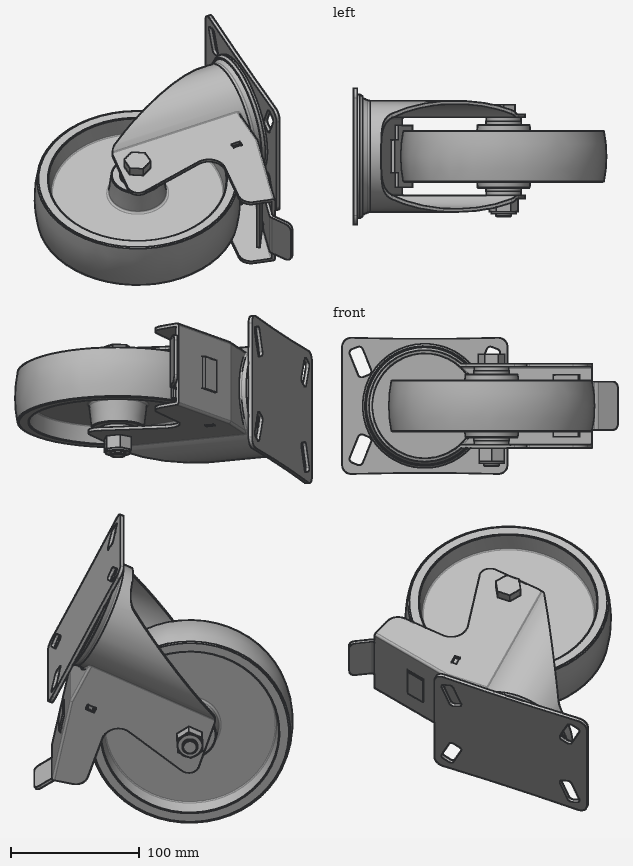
import cadquery as cq
import math


wheel_radius = 80.0
tread_edge_radius = 78.0
tread_width = 40.0
tyre_inner_radius = 69.7
tyre_edge_chamfer = 1.3
rim_chamfer = 0.6
rim_root_radius = 67.0
disc_thickness = 11.2
disc_root_fillet = 0.9
hub_end_radius = 20.4
hub_root_radius = 22.5
hub_root_fillet = 1.7
hub_end_chamfer = 0.6
hub_length = 49.3

bolt_radius = 6.0
bolt_head_flats = 18.0
bolt_head_height = 7.3
bolt_length_below_fork = 14.2
bolt_tip_chamfer = 0.9
nut_flats = 19.5
nut_hex_height = 10.0
nut_collar_radius = 9.7
nut_collar_height = 1.7

spacer_radius = 13.7
spacer_washer_radius = 13.5
spacer_washer_thickness = 3.0

swivel_x = -52.0
plate_top_y = 116.7
plate_length = 128.7
plate_width = 106.0
plate_thickness = 3.0
plate_corner_radius = 7.3
plate_corner_flat = 7.5
plate_edge_hollow = 0.9
slot_length = 23.2
slot_width = 10.7
slot_corner_radius = 3.0
slot_tilt = 22.0
slot_offset_x = 50.0
slot_offset_z = 34.0

ring_flange_radius = 48.3
ring_flange_height = 2.0
ring_step_outer_radius = 46.5
ring_step_inner_radius = 45.5
ring_step_drop = 4.3
ring_neck_radius = 43.7
ring_neck_drop = 8.0
ring_height = 10.0

sheet = 2.5
fork_half_width = 32.8
fork_cup_radius = 43.3
crown_underside_y = 97.0
cup_front_y = 95.6
cup_bend_radius = 1.3
web_y = 98.2
web_bend_x = 11.0
web_end_x = 78.3
web_slope = 14.2
web_edge_radius = 2.0
slant_top = (-83.6, 94.0, 16.0)
leg_heel = (-25.3, -10.7, 10.7)
leg_toe = (29.8, -18.2, 8.5)
leg_throat = (10.5, 63.7, 13.0)
web_skirt = (72.0, 56.0, 10.0)
web_inner_radius = 1.0
window_width = 4.3
window_height = 7.3
window_x = 9.9
window_y = 80.6

brake_end_x = 98.2
pedal_half_width = 18.9
pedal_start_x = 56.8
pedal_corner_radius = 5.0
pedal_rise = 31.0
pedal_bend_x = 81.0
pedal_bend_radius = 1.7
pad_half_width = 24.0
pad_slope = 30.2
pad_length = 22.5
pad_start_x = 47.8
pad_start_y = 82.0
tongue_half_width = 12.9
tongue_left_x = 31.5
tongue_neck_x = 43.5
tongue_right_x = 46.0
tongue_height = 1.5

margin = 2.1

half_tread = tread_width / 2
half_disc = disc_thickness / 2
half_hub = hub_length / 2
leg_inner_z = fork_half_width - sheet
plate_bottom_y = plate_top_y - plate_thickness
fork_top_y = plate_bottom_y - ring_height
web_gradient = math.tan(math.radians(web_slope))
web_drop = sheet / math.cos(math.radians(web_slope))


def web_top(x):
    """Height of the sloping web's upper face at x."""
    return web_y - (x - web_bend_x) * web_gradient


def web_under(x):
    """Height of the sloping web's lower face at x."""
    return web_top(x) - web_drop


def rounded_outline(corners):
    """Closed XY outline through (x, y, radius) corners, each rounded by a tangent arc."""
    path = cq.Workplane("XY")
    started = False
    for i, (x, y, radius) in enumerate(corners):
        corner = cq.Vector(x, y)
        before = cq.Vector(*corners[i - 1][:2])
        after = cq.Vector(*corners[(i + 1) % len(corners)][:2])
        to_before = (before - corner).normalized()
        to_after = (after - corner).normalized()
        half_angle = to_before.getAngle(to_after) / 2
        setback = radius / math.tan(half_angle)
        bisector = (to_before + to_after).normalized()
        arc_start = corner + to_before * setback
        arc_middle = corner + bisector * (radius / math.sin(half_angle) - radius)
        arc_end = corner + to_after * setback
        if started:
            path = path.lineTo(arc_start.x, arc_start.y)
        else:
            path = path.moveTo(arc_start.x, arc_start.y)
            started = True
        if radius > 0:
            path = path.threePointArc((arc_middle.x, arc_middle.y), (arc_end.x, arc_end.y))
    return path.close()


def extrude_centred(outline, half_width):
    """Extrude an XY outline to both sides of the wheel's middle plane."""
    return outline.extrude(half_width, both=True)


def turned_about_z(points):
    """Solid of revolution about the axle from (radius, z) points."""
    return cq.Workplane("XZ").polyline(points).close().revolve(360, (0, 0), (0, 1))


def cylinder_z(radius, z_low, z_high):
    """Cylinder about the axle between two heights."""
    return cq.Workplane("XY").workplane(offset=z_low).circle(radius).extrude(z_high - z_low)


def swivel_cylinder(radius, y_low, y_high):
    """Cylinder about the swivel axis between two levels."""
    plane = cq.Workplane("XZ", origin=(swivel_x, y_high, 0))
    return plane.circle(radius).extrude(y_high - y_low)


def make_plate():
    """Rectangular plate with slightly hollow long edges and four slanted slots."""
    half_x = plate_length / 2
    half_z = plate_width / 2
    hollow_end_x = half_x - plate_corner_flat
    hollow_z = half_z - plate_edge_hollow
    plate = (
        cq.Workplane("XZ", origin=(swivel_x, plate_top_y, 0))
        .moveTo(-half_x, -half_z)
        .lineTo(-hollow_end_x, -half_z)
        .threePointArc((0, -hollow_z), (hollow_end_x, -half_z))
        .lineTo(half_x, -half_z)
        .lineTo(half_x, half_z)
        .lineTo(hollow_end_x, half_z)
        .threePointArc((0, hollow_z), (-hollow_end_x, half_z))
        .lineTo(-half_x, half_z)
        .close()
        .extrude(plate_thickness)
    )
    plate = plate.edges("|Y and (<X or >X)").fillet(plate_corner_radius)
    for side_x in (-1, 1):
        for side_z in (-1, 1):
            slot = (
                cq.Workplane("XZ")
                .rect(slot_width, slot_length)
                .extrude(plate_thickness)
                .edges("|Y")
                .fillet(slot_corner_radius)
                .rotate((0, 0, 0), (0, 1, 0), side_x * side_z * slot_tilt)
                .translate((swivel_x + side_x * slot_offset_x, plate_top_y, side_z * slot_offset_z))
            )
            plate = plate.cut(slot)
    return plate


def make_swivel_ring():
    """Stepped, tapering bearing ring between plate and fork."""
    profile = [
        (0, 0),
        (ring_flange_radius, 0),
        (ring_flange_radius, -ring_flange_height),
        (ring_step_outer_radius, -ring_step_drop),
        (ring_step_inner_radius, -ring_step_drop),
        (ring_neck_radius, -ring_neck_drop),
        (fork_cup_radius, -ring_height),
        (0, -ring_height),
    ]
    ring = cq.Workplane("XY").polyline(profile).close().revolve(360, (0, 0), (0, 1))
    return ring.translate((swivel_x, plate_bottom_y, 0))


def fork_side_outline():
    """Side shape of the fork below its crown."""
    cup_left_x = swivel_x - fork_cup_radius
    return rounded_outline([
        (cup_left_x - margin, web_y, 0),
        (cup_left_x - margin, cup_front_y, 0),
        slant_top,
        leg_heel,
        leg_toe,
        leg_throat,
        web_skirt,
        (web_end_x, web_top(web_end_x), 0),
        (web_bend_x, web_y, 0),
    ])


def round_roof_edges(prism, radius):
    """Round the two long edges where a channel-shaped prism's sides meet its roof."""
    roof = cq.selectors.BoxSelector(
        (swivel_x, web_under(web_end_x), -fork_half_width - margin),
        (web_end_x - margin, web_y + margin, fork_half_width + margin),
    )
    return prism.edges(roof).edges("not |Z").fillet(radius)


def make_fork_blank():
    """Solid block with the fork's outer shape: round cup, flat legs, sloping web and crown."""
    side_shape = extrude_centred(fork_side_outline(), fork_cup_radius + margin)
    span_x = web_end_x - swivel_x
    block = cq.Workplane("XY").box(span_x, 2 * (wheel_radius + web_y), 2 * fork_half_width)
    channel = side_shape.intersect(block.translate((swivel_x + span_x / 2, 0, 0)))
    channel = round_roof_edges(channel, web_edge_radius)
    cup = side_shape.intersect(swivel_cylinder(fork_cup_radius, -wheel_radius, web_y))
    crown = swivel_cylinder(fork_cup_radius, crown_underside_y, fork_top_y)
    return channel.union(cup).union(crown)


def make_channel_hollow():
    """Space between the legs, below the web."""
    outline = rounded_outline([
        (swivel_x, -wheel_radius, 0),
        (brake_end_x, -wheel_radius, 0),
        (brake_end_x, web_under(brake_end_x), 0),
        (web_bend_x, web_under(web_bend_x), 0),
        (swivel_x, web_under(web_bend_x), 0),
    ])
    return round_roof_edges(extrude_centred(outline, leg_inner_z), web_inner_radius)


def round_cup_edge(fork, radius, level):
    """Round the arc on the +X side where the cup meets the web at the given level."""
    edge_tolerance = 0.02
    arc_depth = 6.5
    reach = cq.selectors.BoxSelector(
        (swivel_x + radius - arc_depth, level - edge_tolerance, -radius / 2),
        (swivel_x + radius, level + edge_tolerance, radius / 2),
    )
    return fork.edges(reach).fillet(cup_bend_radius)


def make_fork():
    """Sheet fork: round cup under the crown, two flat legs and a sloping web joining them."""
    cup_inner_radius = fork_cup_radius - sheet
    fork = make_fork_blank()
    fork = round_cup_edge(fork, fork_cup_radius, web_y)
    fork = fork.cut(swivel_cylinder(cup_inner_radius, -wheel_radius, crown_underside_y))
    fork = fork.cut(make_channel_hollow())
    fork = round_cup_edge(fork, cup_inner_radius, web_under(web_bend_x))

    fork = fork.cut(cylinder_z(bolt_radius, -fork_half_width, fork_half_width))
    window = cq.Workplane("XY").center(window_x, window_y).rect(window_width, window_height)
    fork = fork.cut(extrude_centred(window, fork_half_width))
    return fork.cut(make_tongue())


def make_tongue():
    """Hooked tongue: a flat on top of the web and a neck down through it."""
    neck_foot_y = pad_start_y + (pad_start_x - tongue_neck_x) * math.tan(math.radians(pad_slope))
    outline = rounded_outline([
        (tongue_left_x, web_top(tongue_left_x), 0),
        (tongue_left_x, web_top(tongue_left_x) + tongue_height, 0),
        (tongue_right_x, web_top(tongue_right_x) + tongue_height, 0),
        (pad_start_x + sheet, pad_start_y, 0),
        (pad_start_x, pad_start_y, 0),
        (tongue_neck_x, neck_foot_y, 0),
        (tongue_neck_x, web_top(tongue_neck_x), 0),
    ])
    return extrude_centred(outline, tongue_half_width)


def make_brake():
    """Brake lever: tongue, slanted brake pad and pedal strip as one bent piece."""
    pad = (
        cq.Workplane("XY")
        .rect(pad_length, sheet, centered=False)
        .extrude(pad_half_width, both=True)
        .rotate((0, 0, 0), (0, 0, 1), -pad_slope)
        .translate((pad_start_x, pad_start_y, 0))
    )
    rise = math.radians(pedal_rise)
    end_x = brake_end_x - sheet * math.sin(rise)
    bend_y = web_under(pedal_bend_x)
    end_y = bend_y + (end_x - pedal_bend_x) * math.tan(rise)
    fall = math.radians(web_slope)
    bend_mitre = sheet / math.cos((rise + fall) / 2)
    lower_bend_x = pedal_bend_x + bend_mitre * math.sin((rise - fall) / 2)
    lower_bend_y = bend_y - bend_mitre * math.cos((rise - fall) / 2)
    neck_start_y = web_under(tongue_right_x)
    neck_end_y = web_under(pedal_start_x)
    neck = extrude_centred(rounded_outline([
        (tongue_right_x, neck_start_y, 0),
        (pedal_start_x, neck_end_y, 0),
        (pedal_start_x, neck_end_y - web_drop, 0),
        (tongue_right_x, neck_start_y - web_drop, 0),
    ]), tongue_half_width)
    pedal_outline = rounded_outline([
        (pedal_start_x, neck_end_y, 0),
        (pedal_bend_x, bend_y, pedal_bend_radius),
        (end_x, end_y, 0),
        (brake_end_x, end_y - sheet * math.cos(rise), 0),
        (lower_bend_x, lower_bend_y, pedal_bend_radius + sheet),
        (pedal_start_x, neck_end_y - web_drop, 0),
    ])
    pedal = extrude_centred(pedal_outline, pedal_half_width)
    free_end = cq.selectors.BoxSelector(
        (end_x, end_y - sheet, -pedal_half_width - margin),
        (brake_end_x, end_y, pedal_half_width + margin),
    )
    pedal = pedal.edges(free_end).edges("not |Z").fillet(pedal_corner_radius)
    return make_tongue().union(pad).union(neck).union(pedal)


def make_tyre():
    """Tyre with a crowned tread."""
    side_z = half_tread - tyre_edge_chamfer / 2
    face_radius = tread_edge_radius - tyre_edge_chamfer
    return (
        cq.Workplane("XZ")
        .moveTo(tyre_inner_radius, -half_tread)
        .lineTo(face_radius, -half_tread)
        .lineTo(tread_edge_radius, -side_z)
        .threePointArc((wheel_radius, 0), (tread_edge_radius, side_z))
        .lineTo(face_radius, half_tread)
        .lineTo(tyre_inner_radius, half_tread)
        .close()
        .revolve(360, (0, 0), (0, 1))
    )


def make_wheel():
    """Wheel core: tapered rim, flat disc and tapered hub with a bore for the bolt."""
    upper = [
        (bolt_radius, half_hub, 0),
        (hub_end_radius - hub_end_chamfer, half_hub, 0),
        (hub_end_radius, half_hub - hub_end_chamfer, 0),
        (hub_root_radius, half_disc, hub_root_fillet),
        (rim_root_radius, half_disc, disc_root_fillet),
        (tyre_inner_radius - rim_chamfer, half_tread - rim_chamfer, 0),
        (tyre_inner_radius, half_tread, 0),
    ]
    lower = [(radius, -z, fillet) for radius, z, fillet in reversed(upper)]
    core = rounded_outline(upper + lower).revolve(360, (0, 0), (0, 1))
    return core.rotate((0, 0, 0), (1, 0, 0), 90)


def make_spacer(side):
    """Stepped spacer between the hub and one leg; side is +1 or -1 along Z."""
    step_z = leg_inner_z - spacer_washer_thickness
    profile = [
        (bolt_radius, half_hub),
        (spacer_radius, half_hub),
        (spacer_radius, step_z),
        (spacer_washer_radius, step_z),
        (spacer_washer_radius, leg_inner_z),
        (bolt_radius, leg_inner_z),
    ]
    return turned_about_z([(radius, side * z) for radius, z in profile])


def make_bolt():
    """Hexagon bolt with its head on the +Z leg."""
    tip_z = -fork_half_width - bolt_length_below_fork
    shank = cylinder_z(bolt_radius, tip_z, fork_half_width).faces("<Z").chamfer(bolt_tip_chamfer)
    head_plane = cq.Workplane("XY").workplane(offset=fork_half_width)
    head_corners = bolt_head_flats / math.cos(math.pi / 6)
    return shank.union(head_plane.polygon(6, head_corners).extrude(bolt_head_height))


def make_nut():
    """Lock nut with a round collar, on the -Z leg."""
    hex_end_z = -fork_half_width - nut_hex_height
    nut = (
        cq.Workplane("XY")
        .workplane(offset=hex_end_z)
        .polygon(6, nut_flats / math.cos(math.pi / 6))
        .extrude(nut_hex_height)
        .rotate((0, 0, 0), (0, 0, 1), 90)
    )
    nut = nut.union(cylinder_z(nut_collar_radius, hex_end_z - nut_collar_height, hex_end_z))
    return nut.cut(cylinder_z(bolt_radius, hex_end_z - nut_collar_height, -fork_half_width))


plate = make_plate()
swivel_ring = make_swivel_ring()
fork = make_fork()
brake = make_brake()
tyre = make_tyre()
wheel = make_wheel()
bolt = make_bolt()
nut = make_nut()
spacers = [make_spacer(side) for side in (1, -1)]

result = cq.Compound.makeCompound([
    plate.val(),
    swivel_ring.val(),
    fork.val(),
    brake.val(),
    tyre.val(),
    wheel.val(),
    bolt.val(),
    nut.val(),
    *[spacer.val() for spacer in spacers],
])